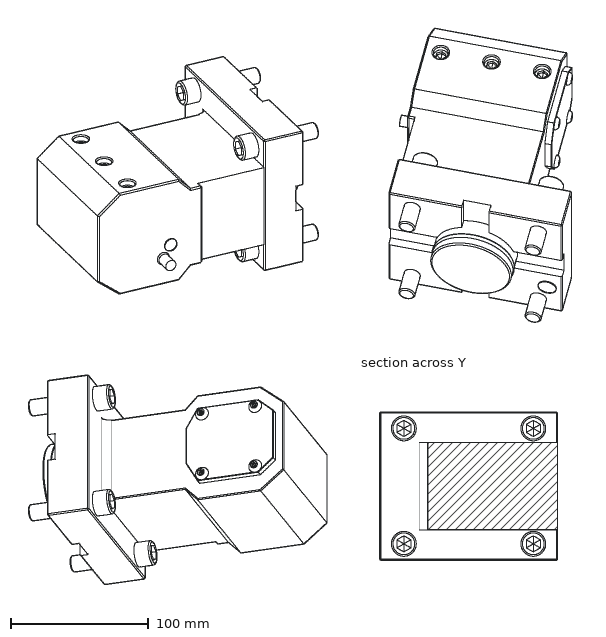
import cadquery as cq
import math


OVERALL_X = 147.0
OVERALL_Y = 188.0

FLANGE_X = 129.3
FLANGE_Z = 108.0
FLANGE_THICKNESS = 32.0
FLANGE_CHAMFER = 1.0
KEYWAY_WIDTH = 20.3
KEYWAY_DEPTH = 6.2

SPIGOT_RADIUS = 30.0
SPIGOT_LENGTH = 15.2
SPIGOT_CHAMFER = 1.1
GROOVE_START = 5.6
GROOVE_WIDTH = 3.4
RING_SECTION_RADIUS = 1.5
RING_OUTER_RADIUS = 30.6
RING_CENTRE_RADIUS = RING_OUTER_RADIUS - RING_SECTION_RADIUS
GROOVE_FLOOR_RADIUS = RING_CENTRE_RADIUS - RING_SECTION_RADIUS

BOLT_X = 47.0
BOLT_Z = 42.0
BOLT_SHANK_RADIUS = 6.0
BOLT_TAIL = 18.5
BOLT_TIP_CHAMFER = 1.0
BOLT_HEAD_RADIUS = 9.0
BOLT_HEAD_HEIGHT = 12.0
BOLT_HEAD_CHAMFER = 1.1
BOLT_HEX_FLATS = 10.2
BOLT_HEX_DEPTH = 5.3

BODY_LEFT = -29.7
BODY_RIGHT = FLANGE_X / 2
NECK_HALF_Z = 31.8
HEAD_START = -94.0
HEAD_FULL_START = -103.5
HEAD_FULL_END = -151.9
HEAD_END = BOLT_TAIL - OVERALL_Y
HEAD_HALF_Z = 41.5
NOSE_HALF_Z = 27.3
BODY_CHAMFER = 0.8
NECK_FILLET = 5.8

PAD_START = -84.8
PAD_THICKNESS = 5.5
PAD_CHAMFER = 1.1
PAD_FACE = BODY_RIGHT + PAD_THICKNESS

COVER_THICKNESS = 5.0
COVER_CHAMFER = 0.4
COVER_FACE = BODY_LEFT - COVER_THICKNESS
COVER_BACK = -96.5
COVER_FULL_START = -105.3
COVER_FULL_END = -151.9
COVER_FRONT = -163.4
COVER_HALF_Z = 29.0
COVER_BACK_HALF_Z = 14.0
COVER_FRONT_HALF_Z = 19.0

COVER_SCREW_Y = (-108.9, -149.6)
COVER_SCREW_Z = 23.9
BUTTON_RADIUS = 4.9
BUTTON_FLAT_RADIUS = 2.6
BUTTON_HEIGHT = 2.8
BUTTON_BULGE_HEIGHT = 1.7
BUTTON_BULGE_RADIUS = 4.1
BUTTON_HEX_FLATS = 3.0
BUTTON_HEX_DEPTH = 1.5

SET_SCREW_MIDDLE_X = 20.0
SET_SCREW_PITCH = 37.8
SET_SCREW_Y = -139.5
SET_BORE_RADIUS = 5.5
SET_BORE_CHAMFER = 1.0
SET_BORE_DEPTH = 4.5
SET_HEX_FLATS = 7.0
SET_HEX_DEPTH = 2.3

PIN_Y = -116.5
PIN_Z = -20.1
PIN_RADIUS = 4.1
PIN_END = OVERALL_X - FLANGE_X / 2
PIN_FOOT_RADIUS = 4.9
PIN_FOOT_LENGTH = 1.3
PLUG_Y = -110.7
PLUG_Z = -10.2
PLUG_RADIUS = 4.9
SEAL_X = -53.5
SEAL_Z = -26.0
SEAL_RADIUS = 6.8
DISC_HEIGHT = 0.8

HEX_SIDES = 6
SOCKET_POINT_SLOPE = math.tan(math.radians(30))


def cylinder(start, direction, radius, length):
    return cq.Workplane(cq.Solid.makeCylinder(radius, length, cq.Vector(*start), cq.Vector(*direction)))


def mirrored_prism(points, left, right):
    """Extrude half a (y, z) outline, mirrored in Z, along X from left to right."""
    lower_half = [(y, -z) for y, z in reversed(points)]
    return (
        cq.Workplane("YZ", origin=(left, 0, 0))
        .polyline(points + lower_half)
        .close()
        .extrude(right - left)
    )


def hex_socket(centre, inward, corner_direction, flats, depth):
    """Hexagonal cavity with a pyramid floor, sunk from centre along inward."""
    corner_radius = flats / math.sqrt(3)
    mouth = cq.Plane(origin=centre, xDir=corner_direction, normal=inward)
    prism = cq.Workplane(mouth).polygon(HEX_SIDES, 2 * corner_radius).extrude(depth)
    tip = mouth.toWorldCoords((0, 0, depth + corner_radius * SOCKET_POINT_SLOPE))
    floor_corners = []
    for step in range(HEX_SIDES):
        angle = math.radians(360 / HEX_SIDES * step)
        corner = (corner_radius * math.cos(angle), corner_radius * math.sin(angle), depth)
        floor_corners.append(mouth.toWorldCoords(corner))
    sides = [
        cq.Face.makeFromWires(cq.Wire.makePolygon([floor_corners[i - 1], floor_corners[i], tip], close=True))
        for i in range(HEX_SIDES)
    ]
    base = cq.Face.makeFromWires(cq.Wire.makePolygon(floor_corners, close=True))
    pyramid = cq.Solid.makeSolid(cq.Shell.makeShell([base] + sides))
    return prism.union(cq.Workplane(pyramid))


def make_flange():
    flange = (
        cq.Workplane("XY")
        .box(FLANGE_X, FLANGE_THICKNESS, FLANGE_Z)
        .translate((0, -FLANGE_THICKNESS / 2, 0))
        .edges()
        .chamfer(FLANGE_CHAMFER)
    )
    keyway_z = cq.Workplane("XY").box(KEYWAY_WIDTH, 2 * KEYWAY_DEPTH, FLANGE_Z)
    keyway_x = cq.Workplane("XY").box(FLANGE_X, 2 * KEYWAY_DEPTH, KEYWAY_WIDTH)
    return flange.cut(keyway_z).cut(keyway_x)


def make_spigot():
    spigot = cylinder((0, -KEYWAY_DEPTH, 0), (0, 1, 0), SPIGOT_RADIUS, KEYWAY_DEPTH + SPIGOT_LENGTH)
    spigot = spigot.faces(">Y").chamfer(SPIGOT_CHAMFER)
    groove = cylinder((0, GROOVE_START, 0), (0, 1, 0), SPIGOT_RADIUS, GROOVE_WIDTH).cut(
        cylinder((0, GROOVE_START, 0), (0, 1, 0), GROOVE_FLOOR_RADIUS, GROOVE_WIDTH)
    )
    return spigot.cut(groove)


def make_bolt(x, z):
    shank = cylinder((x, -FLANGE_THICKNESS, z), (0, 1, 0), BOLT_SHANK_RADIUS, FLANGE_THICKNESS + BOLT_TAIL)
    shank = shank.faces(">Y").chamfer(BOLT_TIP_CHAMFER)
    head_top = -FLANGE_THICKNESS - BOLT_HEAD_HEIGHT
    head = cylinder((x, head_top, z), (0, 1, 0), BOLT_HEAD_RADIUS, BOLT_HEAD_HEIGHT)
    head = head.faces("<Y").chamfer(BOLT_HEAD_CHAMFER)
    socket = hex_socket((x, head_top, z), (0, 1, 0), (0, 0, 1), BOLT_HEX_FLATS, BOLT_HEX_DEPTH)
    return shank.union(head).cut(socket)


def make_neck_and_head():
    half_outline = [
        (-FLANGE_THICKNESS, NECK_HALF_Z),
        (HEAD_START, NECK_HALF_Z),
        (HEAD_FULL_START, HEAD_HALF_Z),
        (HEAD_FULL_END, HEAD_HALF_Z),
        (HEAD_END, NOSE_HALF_Z),
    ]
    body = mirrored_prism(half_outline, BODY_LEFT, BODY_RIGHT)
    body = body.faces("<X").chamfer(BODY_CHAMFER)
    pad_outline = [(PAD_START, NECK_HALF_Z)] + half_outline[1:]
    pad = mirrored_prism(pad_outline, BODY_RIGHT, PAD_FACE)
    pad = pad.edges("|X and >Y").chamfer(PAD_CHAMFER)
    pad = pad.faces(">X").chamfer(PAD_CHAMFER)
    return body.union(pad)


def make_neck_fillet():
    """Concave round between the -X side of the neck and the flange."""
    return (
        cq.Workplane("XY", origin=(0, 0, -NECK_HALF_Z))
        .moveTo(BODY_LEFT - NECK_FILLET, -FLANGE_THICKNESS)
        .radiusArc((BODY_LEFT, -FLANGE_THICKNESS - NECK_FILLET), NECK_FILLET)
        .lineTo(BODY_LEFT + BODY_CHAMFER, -FLANGE_THICKNESS - NECK_FILLET)
        .lineTo(BODY_LEFT + BODY_CHAMFER, -FLANGE_THICKNESS)
        .close()
        .extrude(2 * NECK_HALF_Z)
    )


def make_cover():
    half_outline = [
        (COVER_BACK, COVER_BACK_HALF_Z),
        (COVER_FULL_START, COVER_HALF_Z),
        (COVER_FULL_END, COVER_HALF_Z),
        (COVER_FRONT, COVER_FRONT_HALF_Z),
    ]
    return mirrored_prism(half_outline, COVER_FACE, BODY_LEFT).faces("<X").chamfer(COVER_CHAMFER)


def make_button_screw(y, z):
    rim_x = COVER_FACE - BUTTON_HEIGHT
    dome_mid = (COVER_FACE - BUTTON_BULGE_HEIGHT, BUTTON_BULGE_RADIUS)
    head = (
        cq.Workplane("XY")
        .moveTo(BODY_LEFT, 0)
        .lineTo(BODY_LEFT, BUTTON_RADIUS)
        .lineTo(COVER_FACE, BUTTON_RADIUS)
        .threePointArc(dome_mid, (rim_x, BUTTON_FLAT_RADIUS))
        .lineTo(rim_x, 0)
        .close()
        .revolve(360, (0, 0, 0), (1, 0, 0))
    )
    socket = hex_socket((rim_x, 0, 0), (1, 0, 0), (0, 0, 1), BUTTON_HEX_FLATS, BUTTON_HEX_DEPTH)
    return head.cut(socket).translate((0, y, z))


def make_set_screw_recess(x):
    floor_z = HEAD_HALF_Z - SET_BORE_DEPTH
    bore = cylinder((x, SET_SCREW_Y, floor_z), (0, 0, 1), SET_BORE_RADIUS, SET_BORE_DEPTH)
    mouth = cq.Workplane(
        cq.Solid.makeCone(
            SET_BORE_RADIUS,
            SET_BORE_RADIUS + SET_BORE_CHAMFER,
            SET_BORE_CHAMFER,
            cq.Vector(x, SET_SCREW_Y, HEAD_HALF_Z - SET_BORE_CHAMFER),
            cq.Vector(0, 0, 1),
        )
    )
    socket = hex_socket((x, SET_SCREW_Y, floor_z), (0, 0, -1), (0, 1, 0), SET_HEX_FLATS, SET_HEX_DEPTH)
    return bore.union(mouth).union(socket)


def make_coolant_fittings():
    pin = cylinder((BODY_RIGHT, PIN_Y, PIN_Z), (1, 0, 0), PIN_RADIUS, PIN_END - BODY_RIGHT)
    foot = cq.Workplane(
        cq.Solid.makeCone(
            PIN_FOOT_RADIUS,
            PIN_RADIUS,
            PIN_FOOT_LENGTH,
            cq.Vector(PAD_FACE, PIN_Y, PIN_Z),
            cq.Vector(1, 0, 0),
        )
    )
    plug = cylinder((PAD_FACE, PLUG_Y, PLUG_Z), (1, 0, 0), PLUG_RADIUS, DISC_HEIGHT)
    seal = cylinder((SEAL_X, 0, SEAL_Z), (0, 1, 0), SEAL_RADIUS, DISC_HEIGHT)
    return [pin, foot, plug, seal]


def make_holder():
    holder = make_flange().union(make_spigot()).union(make_neck_and_head())
    holder = holder.union(make_neck_fillet()).union(make_cover())
    for x in (-BOLT_X, BOLT_X):
        for z in (-BOLT_Z, BOLT_Z):
            holder = holder.union(make_bolt(x, z))
    for y in COVER_SCREW_Y:
        for z in (-COVER_SCREW_Z, COVER_SCREW_Z):
            holder = holder.union(make_button_screw(y, z))
    for fitting in make_coolant_fittings():
        holder = holder.union(fitting)
    for step in (-1, 0, 1):
        holder = holder.cut(make_set_screw_recess(SET_SCREW_MIDDLE_X + step * SET_SCREW_PITCH))
    return holder


def make_sealing_ring():
    ring = cq.Solid.makeTorus(
        RING_CENTRE_RADIUS,
        RING_SECTION_RADIUS,
        cq.Vector(0, GROOVE_START + RING_SECTION_RADIUS, 0),
        cq.Vector(0, 1, 0),
    )
    return cq.Workplane(ring)


holder = make_holder()
sealing_ring = make_sealing_ring()
result = cq.Compound.makeCompound([holder.val(), sealing_ring.val()])